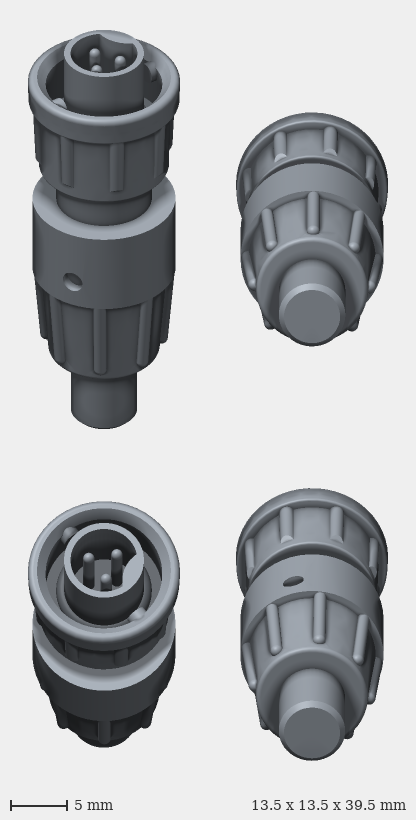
import cadquery as cq
import math

total_height = 39.45
cable_radius = 2.95
cable_chamfer = 0.46

rib_count = 8

backshell_bottom_z = 7.1
backshell_bottom_radius = 4.92
backshell_top_radius = 5.65
backshell_fillet = 0.4
backshell_rib_radius = 0.57
backshell_rib_tip_z = 8.52
backshell_rib_tip_axis = 5.1
backshell_rib_top_axis = 5.73
backshell_rib_start_angle = 22.5

body_bottom_z = 16.0
body_top_z = 23.6
body_radius = 6.35
set_hole_radius = 0.96
set_hole_z = 18.5
set_hole_depth = 0.95
neck_radius = 4.25
shoulder_fillet = 0.65

nut_bottom_z = 27.27
nut_bottom_radius = 5.78
nut_top_radius = 5.9
nut_fillet = 0.2
nut_bore_radius = 5.18
nut_floor_z = 31.87
rim_bottom_z = 34.28
rim_top_z = 36.83
rim_top_radius = 6.77
rim_bottom_radius = 6.7
rim_top_fillet = 0.5
rim_bottom_fillet = 0.2
rim_lead_in = 0.76
nut_rib_radius = 0.7
nut_rib_bottom_z = 28.4
nut_rib_bottom_axis = 5.47
nut_rib_top_axis = 5.72
nut_rib_tip_slope = 45
nut_rib_start_angle = -97.5

peg_radius = 0.9
peg_z = 35.38
peg_inner_face = 4.52
peg_outer_end = 5.6
peg_angle = 60.4
peg_count = 2

plug_radius = 3.55
plug_bore_radius = 2.97
plug_floor_z = nut_floor_z
key_tip_y = 2.0
key_radius = 3.1
pin_radius = 0.5
pin_circle_radius = 1.45
pin_tip_z = 39.0
pin_start_angle = 30
pin_count = 3


def cylinder(radius, bottom_z, top_z):
    return cq.Workplane("XY").workplane(offset=bottom_z).circle(radius).extrude(top_z - bottom_z)


def cone(bottom_radius, bottom_z, top_radius, top_z):
    profile = [(0, bottom_z), (bottom_radius, bottom_z), (top_radius, top_z), (0, top_z)]
    return cq.Workplane("XZ").polyline(profile).close().revolve(360, (0, 0), (0, 1))


def around_axis(shape, count, start_angle):
    """Copies of a shape drawn along +X, evenly spaced about the Z axis."""
    step = 360 / count
    return [shape.rotate((0, 0, 0), (0, 0, 1), start_angle + step * i) for i in range(count)]


def leaning_rod(radius, bottom_axis, bottom_z, top_axis, top_z):
    """Round rod in the XZ plane, running between two distances from the Z axis."""
    run = top_axis - bottom_axis
    rise = top_z - bottom_z
    base = cq.Plane(origin=(bottom_axis, 0, bottom_z), xDir=(0, 1, 0), normal=(run, 0, rise))
    return cq.Workplane(base).circle(radius).extrude(math.hypot(run, rise))


def make_cable():
    return cylinder(cable_radius, 0, backshell_bottom_z).faces("<Z").chamfer(cable_chamfer)


def make_backshell():
    shell = cone(backshell_bottom_radius, backshell_bottom_z, backshell_top_radius, body_bottom_z)
    shell = shell.faces("<Z").edges().fillet(backshell_fillet)
    rib = leaning_rod(
        backshell_rib_radius,
        backshell_rib_tip_axis,
        backshell_rib_tip_z,
        backshell_rib_top_axis,
        body_bottom_z,
    )
    tip = cq.Workplane("XY").sphere(backshell_rib_radius)
    rib = rib.union(tip.translate((backshell_rib_tip_axis, 0, backshell_rib_tip_z)))
    for copy in around_axis(rib, rib_count, backshell_rib_start_angle):
        shell = shell.union(copy)
    return shell


def make_body():
    body = cylinder(body_radius, body_bottom_z, body_top_z)
    hole = cq.Workplane("XZ", origin=(0, -body_radius, set_hole_z)).circle(set_hole_radius)
    return body.cut(hole.extrude(-set_hole_depth))


def make_nut():
    nut = cone(nut_bottom_radius, nut_bottom_z, nut_top_radius, rim_bottom_z)
    nut = nut.faces("<Z").edges().fillet(nut_fillet)
    rim = cone(rim_bottom_radius, rim_bottom_z, rim_top_radius, rim_top_z)
    rim = rim.faces(">Z").edges().fillet(rim_top_fillet)
    rim = rim.faces("<Z").edges().fillet(rim_bottom_fillet)
    nut = nut.union(rim)

    rib = leaning_rod(nut_rib_radius, nut_rib_bottom_axis, nut_rib_bottom_z, nut_rib_top_axis, rim_bottom_z)
    flare = (rim_bottom_z - nut_rib_bottom_z) * math.tan(math.radians(nut_rib_tip_slope))
    rib = rib.intersect(cone(nut_bottom_radius, nut_rib_bottom_z, nut_bottom_radius + flare, rim_bottom_z))
    for copy in around_axis(rib, rib_count, nut_rib_start_angle):
        nut = nut.union(copy)

    nut = nut.cut(cylinder(nut_bore_radius, nut_floor_z, rim_top_z))
    lead_in_bottom_z = rim_top_z - rim_lead_in
    nut = nut.cut(cone(nut_bore_radius, lead_in_bottom_z, nut_bore_radius + rim_lead_in, rim_top_z))

    peg = cq.Workplane("YZ", origin=(peg_inner_face, 0, peg_z)).circle(peg_radius)
    peg = peg.extrude(peg_outer_end - peg_inner_face)
    for copy in around_axis(peg, peg_count, peg_angle):
        nut = nut.union(copy)
    return nut


def make_neck():
    neck = cylinder(neck_radius, body_top_z, nut_floor_z + shoulder_fillet)
    return neck.faces(">Z").edges().fillet(shoulder_fillet)


def make_plug():
    return cylinder(plug_radius, nut_floor_z, total_height)


def make_plug_bore():
    bore = cylinder(plug_bore_radius, plug_floor_z, total_height)
    key = cylinder(key_radius, plug_floor_z, total_height).translate((0, key_tip_y + key_radius, 0))
    return bore.cut(key)


def make_pins():
    pin = cylinder(pin_radius, plug_floor_z, pin_tip_z - pin_radius)
    tip = cq.Workplane("XY").sphere(pin_radius).translate((0, 0, pin_tip_z - pin_radius))
    return around_axis(pin.union(tip).translate((pin_circle_radius, 0, 0)), pin_count, pin_start_angle)


result = make_cable().union(make_backshell()).union(make_body())
result = result.union(make_neck()).union(make_nut()).union(make_plug())
result = result.cut(make_plug_bore())
for pin in make_pins():
    result = result.union(pin)